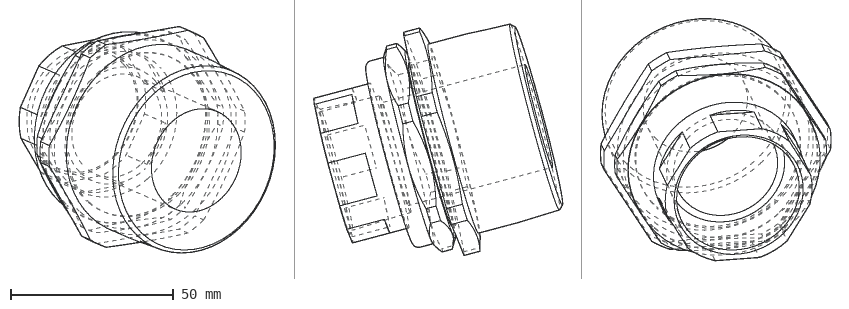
import cadquery as cq

collar_start = 17.9
nut_start = 24.0
nut_end = 30.95
flange_start = 32.1
flange_end = 38.3
taper_start = 50.9
total_length = 65.55

neck_radius = 23.1
neck_flat_distance = 22.0
neck_flat_length = 12.0
neck_flat_turn = 1.1

collar_radius = 29.7
collar_round = 2.0
groove_radius = 25.95
body_radius = 30.15
body_end_radius = 29.65
body_end_chamfer = 1.3

nut_across_flats = 59.9
nut_corner_radius = 32.95
nut_face_radius = 29.9
nut_chamfer_length = 1.85
flange_across_flats = 65.0
flange_corner_radius = 35.7
flange_face_radius = 31.8
flange_chamfer_length = 1.15

mouth_radius = 20.3
mouth_chamfer = 1.0
socket_floor_radius = 18.6
socket_depth = 19.7
through_radius = 16.4


def revolve_profile(points):
    """Turn a closed (axial position, radius) outline about the X axis."""
    return cq.Workplane("XY").polyline(points).close().revolve(360, (0, 0, 0), (1, 0, 0))


def cylinder(start, end, radius):
    return cq.Workplane("YZ", origin=(start, 0, 0)).circle(radius).extrude(end - start)


def hex_prism(start, end, across_flats):
    """Hexagonal prism along X with flats facing up and down."""
    return (
        cq.Workplane("YZ", origin=(start, 0, 0))
        .polygon(6, across_flats, circumscribed=True)
        .extrude(end - start)
        .rotate((0, 0, 0), (1, 0, 0), 30)
    )


def make_neck():
    neck = cylinder(0, collar_start, neck_radius)
    flats = hex_prism(0, neck_flat_length, 2 * neck_flat_distance)
    flats = flats.rotate((0, 0, 0), (1, 0, 0), neck_flat_turn)
    outside_flats = cylinder(0, neck_flat_length, 2 * neck_radius).cut(flats)
    return neck.cut(outside_flats)


def make_collar():
    collar = cylinder(collar_start, nut_start, collar_radius)
    return collar.faces("<X").edges().fillet(collar_round)


def make_nut():
    """Hexagon with rounded corners, chamfered on both faces."""
    envelope = revolve_profile([
        (nut_start, 0),
        (nut_start, nut_face_radius),
        (nut_start + nut_chamfer_length, nut_corner_radius),
        (nut_end - nut_chamfer_length, nut_corner_radius),
        (nut_end, nut_face_radius),
        (nut_end, 0),
    ])
    return hex_prism(nut_start, nut_end, nut_across_flats).intersect(envelope)


def make_flange():
    """Hexagon with rounded corners, chamfered on the rear face only."""
    envelope = revolve_profile([
        (flange_start, 0),
        (flange_start, flange_corner_radius),
        (flange_end - flange_chamfer_length, flange_corner_radius),
        (flange_end, flange_face_radius),
        (flange_end, 0),
    ])
    return hex_prism(flange_start, flange_end, flange_across_flats).intersect(envelope)


def make_rear_body():
    chamfer_start = total_length - body_end_chamfer
    return revolve_profile([
        (flange_end, 0),
        (flange_end, body_radius),
        (taper_start, body_radius),
        (chamfer_start, body_end_radius),
        (total_length, body_end_radius - body_end_chamfer),
        (total_length, 0),
    ])


def make_bore():
    """Chamfered mouth, tapered socket and a smaller through hole."""
    return revolve_profile([
        (0, 0),
        (0, mouth_radius),
        (mouth_chamfer, mouth_radius - mouth_chamfer),
        (socket_depth, socket_floor_radius),
        (socket_depth, through_radius),
        (total_length, through_radius),
        (total_length, 0),
    ])


result = (
    make_neck()
    .union(make_collar())
    .union(make_nut())
    .union(cylinder(nut_end, flange_start, groove_radius))
    .union(make_flange())
    .union(make_rear_body())
    .cut(make_bore())
)